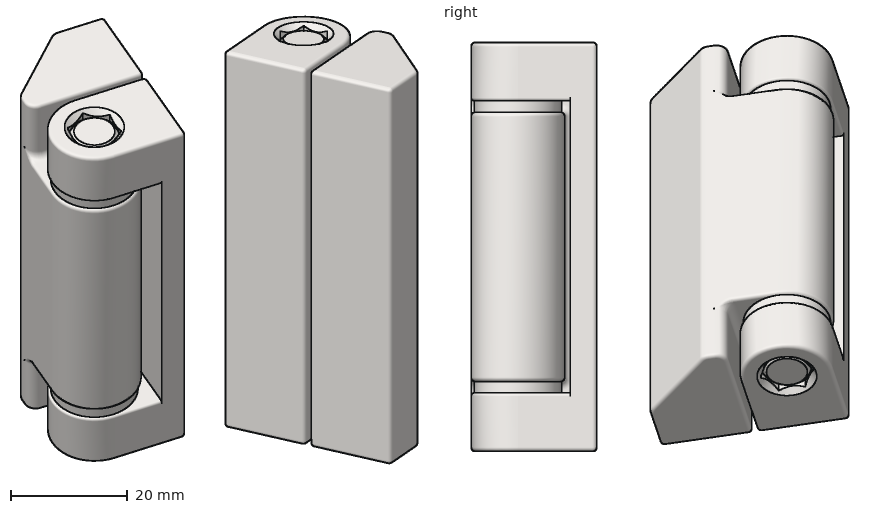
import cadquery as cq
import math

WIDTH = 33.0
DEPTH = 21.5
HEIGHT = 70.0

LEAF_GAP = 1.0
LEAF_WIDTH = (WIDTH - LEAF_GAP) / 2
BARREL_DIAMETER = LEAF_WIDTH
BARREL_RADIUS = BARREL_DIAMETER / 2
EDGE_ROUND = 0.7
SLANT_SIZE = 12.0
SLANT_ROUND = 2.1
CORNER_ROUND = 2.1
ROOT_ROUND = 1.5

EAR_HEIGHT = 10.0
FLANGE_THICKNESS = 1.95
KNUCKLE_BOTTOM = EAR_HEIGHT + FLANGE_THICKNESS
KNUCKLE_TOP = HEIGHT - KNUCKLE_BOTTOM

EAR_LEFT = LEAF_WIDTH + LEAF_GAP
AXIS_X = EAR_LEFT + BARREL_RADIUS
AXIS_Y = BARREL_RADIUS
WEB_FRONT = BARREL_DIAMETER + LEAF_GAP
EAR_INNER_ROUND = 0.5

FLANGE_RADIUS = 7.5
HEX_ACROSS_FLATS = 8.0
HEX_DIAMETER = HEX_ACROSS_FLATS / math.cos(math.pi / 6)
HEX_TIP_RADIUS = 3.5
HEX_RECESS = 1.0
MOUTH_RADIUS = 5.1

MARGIN = 0.1


def block(x_min, x_max, y_min, y_max, z_min, z_max):
    """Box given by its limits along each axis."""
    size = (x_max - x_min, y_max - y_min, z_max - z_min)
    return cq.Workplane("XY").box(*size, centered=False).translate((x_min, y_min, z_min))


def turn_over(body):
    """Mirror image of the body, at the other end of the hinge axis."""
    middle = cq.Vector(0, 0, HEIGHT / 2)
    return body.mirror("XY", basePointVector=middle)


def axis_cylinder(radius, z_min, z_max):
    """Cylinder on the hinge axis."""
    start = (AXIS_X, AXIS_Y, z_min)
    return cq.Workplane("XY", origin=start).circle(radius).extrude(z_max - z_min)


def axis_hexagon(z_min, z_max):
    """Hexagonal bar on the hinge axis."""
    start = (AXIS_X, AXIS_Y, z_min)
    return cq.Workplane("XY", origin=start).polygon(6, HEX_DIAMETER).extrude(z_max - z_min)


def axis_cone(bottom_radius, top_radius, z_top):
    """45 degree cone on the hinge axis, ending at the given height."""
    height = abs(top_radius - bottom_radius)
    start = cq.Vector(AXIS_X, AXIS_Y, z_top - height)
    return cq.Workplane(cq.Solid.makeCone(bottom_radius, top_radius, height, pnt=start))




def fixed_plate():
    plate = (
        cq.Workplane("XY")
        .moveTo(SLANT_SIZE, 0)
        .lineTo(LEAF_WIDTH, 0)
        .lineTo(LEAF_WIDTH, DEPTH)
        .lineTo(0, DEPTH)
        .lineTo(0, SLANT_SIZE)
        .close()
        .extrude(HEIGHT)
    )
    plate = plate.edges("|Z and >Y").fillet(EDGE_ROUND)
    plate = plate.edges("|Z and >X and <Y").fillet(CORNER_ROUND)
    slant_edges = cq.selectors.BoxSelector(
        (-MARGIN, -MARGIN, 0),
        (SLANT_SIZE + MARGIN, SLANT_SIZE + MARGIN, HEIGHT),
    )
    plate = plate.edges("|Z").edges(slant_edges).fillet(SLANT_ROUND)
    return plate.faces("<Z or >Z").edges().fillet(EDGE_ROUND)


def knuckle_arm():
    """Flat-sided part of the knuckle, with a fillet where it leaves the plate."""
    arm_left = LEAF_WIDTH - CORNER_ROUND
    post_left = arm_left - CORNER_ROUND

    overhang = 2 * ROOT_ROUND
    bar = block(post_left, AXIS_X, -overhang, BARREL_DIAMETER, KNUCKLE_BOTTOM, KNUCKLE_TOP)
    bar = bar.edges("|X and >Y").fillet(EDGE_ROUND)
    post = block(post_left, LEAF_WIDTH, 0, DEPTH - EDGE_ROUND, EDGE_ROUND, HEIGHT - EDGE_ROUND)
    post = post.edges("|Z and >X and <Y").fillet(CORNER_ROUND)
    root_edges = cq.selectors.BoxSelector(
        (post_left + MARGIN, -MARGIN, KNUCKLE_BOTTOM - MARGIN),
        (LEAF_WIDTH + MARGIN, BARREL_DIAMETER + MARGIN, KNUCKLE_TOP + MARGIN),
    )
    arm = post.union(bar).edges(root_edges).fillet(ROOT_ROUND)
    arm = arm.intersect(block(arm_left, AXIS_X, 0, DEPTH, 0, HEIGHT))

    front_edges = cq.selectors.BoxSelector(
        (arm_left + MARGIN, -MARGIN, KNUCKLE_BOTTOM - ROOT_ROUND),
        (AXIS_X - MARGIN, MARGIN, KNUCKLE_TOP + ROOT_ROUND),
    )
    return arm.edges(front_edges).fillet(EDGE_ROUND)


def make_fixed_leaf():
    barrel = axis_cylinder(BARREL_RADIUS, KNUCKLE_BOTTOM, KNUCKLE_TOP)
    barrel = barrel.faces("<Z or >Z").edges().fillet(EDGE_ROUND)
    return fixed_plate().union(knuckle_arm()).union(barrel)




def make_swinging_leaf():
    leaf = (
        cq.Workplane("XY")
        .moveTo(EAR_LEFT, DEPTH)
        .lineTo(EAR_LEFT, AXIS_Y)
        .threePointArc((AXIS_X, 0), (WIDTH, AXIS_Y))
        .lineTo(WIDTH, DEPTH)
        .close()
        .extrude(HEIGHT)
    )
    leaf = leaf.edges("|Z and >Y").fillet(EDGE_ROUND)
    leaf = leaf.faces("<Z or >Z").edges().fillet(EDGE_ROUND)

    leaf = leaf.cut(block(EAR_LEFT, WIDTH, 0, WEB_FRONT, EAR_HEIGHT, HEIGHT - EAR_HEIGHT))
    inner_edges = cq.selectors.BoxSelector(
        (EAR_LEFT - MARGIN, -MARGIN, EAR_HEIGHT - MARGIN),
        (WIDTH + MARGIN, WEB_FRONT - MARGIN, HEIGHT - EAR_HEIGHT + MARGIN),
    )
    leaf = leaf.edges(inner_edges).fillet(EAR_INNER_ROUND)

    mouth = axis_cone(0, MOUTH_RADIUS, HEIGHT)
    leaf = leaf.cut(axis_hexagon(0, HEIGHT))
    return leaf.cut(mouth).cut(turn_over(mouth))




def make_bush():
    """Bush of the top ear."""
    tip_z = HEIGHT - HEX_RECESS
    ear_z = HEIGHT - EAR_HEIGHT
    hexagon = axis_hexagon(ear_z, tip_z)
    tip_cone = axis_cone(HEX_TIP_RADIUS + tip_z - ear_z, HEX_TIP_RADIUS, tip_z)
    flange = axis_cylinder(FLANGE_RADIUS, KNUCKLE_TOP, ear_z)
    return hexagon.intersect(tip_cone).union(flange)


fixed_leaf = make_fixed_leaf()
swinging_leaf = make_swinging_leaf()
top_bush = make_bush()
bushes = [top_bush, turn_over(top_bush)]

result = cq.Compound.makeCompound([
    fixed_leaf.val(),
    swinging_leaf.val(),
    *[bush.val() for bush in bushes],
])